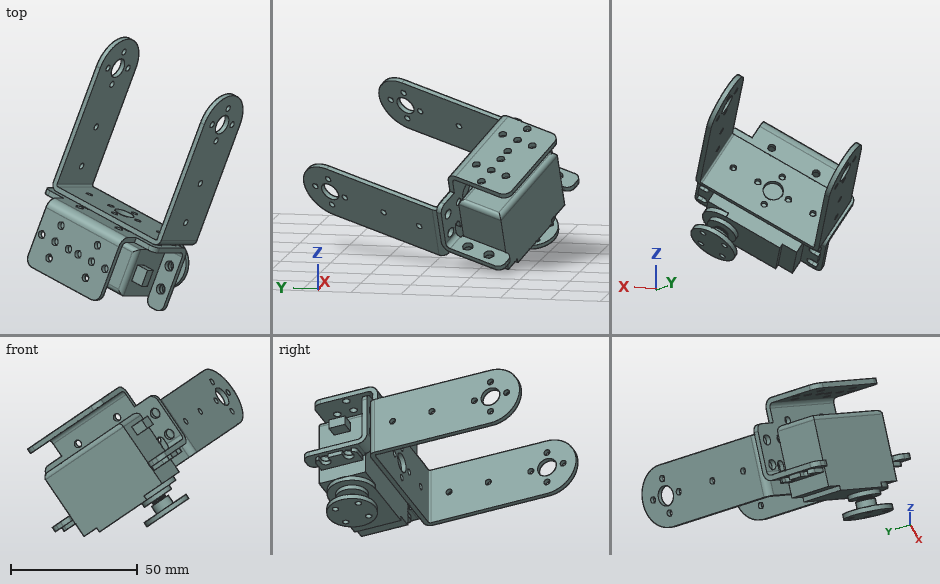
import cadquery as cq
import math

TURN_ABOUT_Z = -24.19
TILT_ABOUT_Y = -34.15


U_SHEET = 2.0
U_HALF_WIDTH = 28.15
U_WIDTH_Z = 25.1
U_CENTRE_Z = 7.25
U_BEND_RADIUS = 2.8
ARM_PIVOT_Y = 52.85
ARM_HOLE_Y = (10.6, 27.5)
U_BASE_HOLE_X = 18.3

HUB_HOLE_D = 8.0
HORN_SCREW_D = 2.5
HORN_SCREW_RADIUS = 7.0

SHEET = 2.15
PLATE_HALF_WIDTH = 29.0
FLANGE_HALF_WIDTH = 19.0
FLANGE_TOP_Z = 33.15
SIDE_TOP_Z = 23.3
BEND_RADIUS = 4.0
FLANGE_TIP_Y = -28.35
FLANGE_CORNER_RADIUS = 3.7
EAR_TIP_Y = -28.1
EAR_CORNER_RADIUS = 3.0
SIDE_CORNER_RADIUS = 3.0
PLATE_HUB_X = 10.2
PLATE_HUB_Z = 16.7
FLANGE_HUB_X = 9.5
PLATE_SCREW_D = 3.0
FLANGE_HOLE_D = 3.0
MOUNT_HOLE_D = 4.0
SIDE_HOLE_X = 24.8
MOUNT_HOLE_X = 24.8
MOUNT_HOLE_PITCH = 10.0
SIDE_HOLE_CENTRE_Z = 11.6
EAR_INNER_X = 20.7
RELIEF_WIDTH = 3.2
RELIEF_X = 20.0
RELIEF_TOP_Z = 8.0

SERVO_CENTRE_Y = -14.6
SERVO_LENGTH = 40.7
SERVO_WIDTH = 20.0
SERVO_TOP_Z = 21.2
SERVO_BOTTOM_Z = -7.85
SERVO_EDGE_RADIUS = 2.0
TAB_HALF_LENGTH = 27.4
TAB_WIDTH = 18.0
TAB_THICKNESS = 1.8
TAB_CORNER_RADIUS = 2.0
TAB_HOLE_X = 25.0
TAB_HOLE_D = 4.0
TAB_SLOT_WIDTH = 3.9
PLUG_LENGTH = 5.2
PLUG_WIDTH = 6.9
PLUG_HEIGHT = 4.0
PLUG_CENTRE_Z = 15.4
SHAFT_X = 10.9
GEAR_CASE_END_D = 19.7
GEAR_CASE_LEFT_X = -13.8
GEAR_CASE_BOTTOM_Z = -9.8
COLLAR_D = 13.0
COLLAR_BOTTOM_Z = -11.7
SPLINE_D = 6.0
SPLINE_TEETH = 25
SPLINE_TOOTH_DEPTH = 0.3

HORN_HUB_D = 8.0
HORN_HUB_TOP_Z = -13.0
HORN_DISC_D = 20.0
HORN_DISC_TOP_Z = -16.6
HORN_DISC_THICKNESS = 2.0


def drill_x(diameter, y, z):
    """Cylinder along X at (y, z), longer than the U-bracket is wide."""
    length = 4 * U_HALF_WIDTH
    return cq.Workplane("YZ", origin=(-length / 2, y, z)).circle(diameter / 2).extrude(length)


def drill_y(diameter, x, z):
    """Cutter along Y at (x, z), long enough for both bracket plates."""
    return cq.Workplane("XZ", origin=(x, 2 * SHEET, z)).circle(diameter / 2).extrude(4 * SHEET)


def drill_z(diameter, x, y, z):
    """Cutter along Z through one sheet, centred at height z."""
    return cq.Workplane("XY", origin=(x, y, z - SHEET)).circle(diameter / 2).extrude(2 * SHEET)


def box(x_range, y_range, z_range):
    """Block between the given limits on each axis."""
    size = [high - low for low, high in (x_range, y_range, z_range)]
    return cq.Workplane("XY").box(*size, centered=False).translate((x_range[0], y_range[0], z_range[0]))


def horn_pattern():
    """Offsets of the four horn screw holes from the hub hole."""
    return [(HORN_SCREW_RADIUS, 0), (-HORN_SCREW_RADIUS, 0), (0, HORN_SCREW_RADIUS), (0, -HORN_SCREW_RADIUS)]


def u_bracket():
    """Base strip with two long, round-ended arms."""
    arm_end_y = ARM_PIVOT_Y + U_WIDTH_Z / 2
    bottom_z = U_CENTRE_Z - U_WIDTH_Z / 2
    top_z = U_CENTRE_Z + U_WIDTH_Z / 2
    outer = box((-U_HALF_WIDTH, U_HALF_WIDTH), (0, arm_end_y), (bottom_z, top_z))
    outer = outer.edges("|Z and <Y").fillet(U_BEND_RADIUS)
    inner_half = U_HALF_WIDTH - U_SHEET
    inner = box((-inner_half, inner_half), (U_SHEET, arm_end_y), (bottom_z, top_z))
    inner = inner.edges("|Z and <Y").fillet(U_BEND_RADIUS - U_SHEET)
    arm_outline = box((-U_HALF_WIDTH, U_HALF_WIDTH), (0, ARM_PIVOT_Y), (bottom_z, top_z))
    arm_outline = arm_outline.union(drill_x(U_WIDTH_Z, ARM_PIVOT_Y, U_CENTRE_Z))
    bracket = outer.cut(inner).intersect(arm_outline)
    bracket = bracket.cut(drill_x(HUB_HOLE_D, ARM_PIVOT_Y, U_CENTRE_Z))
    for dy, dz in horn_pattern():
        bracket = bracket.cut(drill_x(HORN_SCREW_D, ARM_PIVOT_Y + dy, U_CENTRE_Z + dz))
    for y in ARM_HOLE_Y:
        bracket = bracket.cut(drill_x(HORN_SCREW_D, y, U_CENTRE_Z))
    bracket = bracket.cut(drill_y(HUB_HOLE_D, 0, U_CENTRE_Z))
    for dx, dz in horn_pattern():
        bracket = bracket.cut(drill_y(HORN_SCREW_D, dx, U_CENTRE_Z + dz))
    for x in (-U_BASE_HOLE_X, U_BASE_HOLE_X):
        bracket = bracket.cut(drill_y(HORN_SCREW_D, x, U_CENTRE_Z))
    return bracket


def bent_channel():
    """Back plate with a full-width leg towards -Y at top and bottom, both bends rounded."""
    x_range = (-PLATE_HALF_WIDTH, PLATE_HALF_WIDTH)
    deepest_y = min(EAR_TIP_Y, FLANGE_TIP_Y)
    outer = box(x_range, (deepest_y, 0), (0, FLANGE_TOP_Z))
    outer = outer.edges("|X and >Y").fillet(BEND_RADIUS)
    inner = box(x_range, (deepest_y, -SHEET), (SHEET, FLANGE_TOP_Z - SHEET))
    inner = inner.edges("|X and >Y").fillet(BEND_RADIUS - SHEET)
    return outer.cut(inner)


def bracket_envelope():
    """Space the trimmed bracket fills: flange, back plate and two ears, with rounded corners."""
    flange_x = (-FLANGE_HALF_WIDTH, FLANGE_HALF_WIDTH)
    flange = box(flange_x, (FLANGE_TIP_Y, 0), (SIDE_TOP_Z, FLANGE_TOP_Z))
    flange = flange.edges("|Z and <Y").fillet(FLANGE_CORNER_RADIUS)
    plate = box((-PLATE_HALF_WIDTH, PLATE_HALF_WIDTH), (-SHEET, 0), (BEND_RADIUS, SIDE_TOP_Z))
    plate = plate.edges("|Y and >Z").fillet(SIDE_CORNER_RADIUS)
    envelope = flange.union(plate)
    for side in (-1, 1):
        ear_x = sorted((side * EAR_INNER_X, side * PLATE_HALF_WIDTH))
        ear = box(ear_x, (EAR_TIP_Y, 0), (0, BEND_RADIUS))
        envelope = envelope.union(ear.edges("|Z and <Y").fillet(EAR_CORNER_RADIUS))
    return envelope


def bend_relief(x):
    """Round-topped slot beside an ear's bend."""
    half = RELIEF_WIDTH / 2
    centre_z = RELIEF_TOP_Z - half
    slot = box((x - half, x + half), (-2 * SHEET, 0), (0, centre_z))
    return slot.union(drill_y(RELIEF_WIDTH, x, centre_z))


def multi_bracket():
    """Sheet bracket that carries the servo on two ears below a drilled flange."""
    bracket = bent_channel().intersect(bracket_envelope())
    for side in (-1, 1):
        bracket = bracket.cut(bend_relief(side * RELIEF_X))
        hub_x = side * PLATE_HUB_X
        bracket = bracket.cut(drill_y(HUB_HOLE_D, hub_x, PLATE_HUB_Z))
        for dx, dz in horn_pattern():
            bracket = bracket.cut(drill_y(PLATE_SCREW_D, hub_x + dx, PLATE_HUB_Z + dz))
        for dx, dy in horn_pattern() + [(0, 0)]:
            hole_x = side * FLANGE_HUB_X + dx
            bracket = bracket.cut(drill_z(FLANGE_HOLE_D, hole_x, SERVO_CENTRE_Y + dy, FLANGE_TOP_Z))
        for offset in (-MOUNT_HOLE_PITCH / 2, MOUNT_HOLE_PITCH / 2):
            mount_x = side * MOUNT_HOLE_X
            bracket = bracket.cut(drill_z(MOUNT_HOLE_D, mount_x, SERVO_CENTRE_Y + offset, SHEET))
            bracket = bracket.cut(drill_y(MOUNT_HOLE_D, side * SIDE_HOLE_X, SIDE_HOLE_CENTRE_Z + offset))
    return bracket


def servo():
    """Servo body with mounting tabs, cable plug, gear case and output shaft."""
    half_length = SERVO_LENGTH / 2
    front = SERVO_CENTRE_Y - SERVO_WIDTH / 2
    back = SERVO_CENTRE_Y + SERVO_WIDTH / 2
    body = box((-half_length, half_length), (front, back), (SERVO_BOTTOM_Z, SERVO_TOP_Z))
    body = body.edges(">Z").fillet(SERVO_EDGE_RADIUS)

    tabs = cq.Workplane("XY").box(2 * TAB_HALF_LENGTH, TAB_WIDTH, TAB_THICKNESS)
    tabs = tabs.edges("|Z").fillet(TAB_CORNER_RADIUS)
    tabs = tabs.translate((0, SERVO_CENTRE_Y, -TAB_THICKNESS / 2))
    for side in (-1, 1):
        for offset in (-MOUNT_HOLE_PITCH / 2, MOUNT_HOLE_PITCH / 2):
            x = side * TAB_HOLE_X
            y = SERVO_CENTRE_Y + offset
            slot_x = sorted((x, side * 2 * TAB_HALF_LENGTH))
            slot_y = (y - TAB_SLOT_WIDTH / 2, y + TAB_SLOT_WIDTH / 2)
            tabs = tabs.cut(drill_z(TAB_HOLE_D, x, y, -SHEET))
            tabs = tabs.cut(box(slot_x, slot_y, (-TAB_THICKNESS, 0)))

    plug_y = (SERVO_CENTRE_Y - PLUG_WIDTH / 2, SERVO_CENTRE_Y + PLUG_WIDTH / 2)
    plug_z = (PLUG_CENTRE_Z - PLUG_HEIGHT / 2, PLUG_CENTRE_Z + PLUG_HEIGHT / 2)
    plug = box((half_length, half_length + PLUG_LENGTH), plug_y, plug_z)

    case_block = box((GEAR_CASE_LEFT_X, SHAFT_X), (front, back), (GEAR_CASE_BOTTOM_Z, SERVO_BOTTOM_Z))
    case_end = disc(GEAR_CASE_END_D, GEAR_CASE_BOTTOM_Z, SERVO_BOTTOM_Z)
    collar = disc(COLLAR_D, COLLAR_BOTTOM_Z, GEAR_CASE_BOTTOM_Z)
    spline = toothed_spline(HORN_HUB_TOP_Z, COLLAR_BOTTOM_Z)
    return body.union(tabs).union(plug).union(case_block).union(case_end).union(collar).union(spline)


def disc(diameter, bottom_z, top_z):
    """Cylinder on the servo shaft axis."""
    plane = cq.Workplane("XY", origin=(SHAFT_X, SERVO_CENTRE_Y, bottom_z))
    return plane.circle(diameter / 2).extrude(top_z - bottom_z)


def toothed_spline(bottom_z, top_z):
    """Output shaft with V-shaped teeth."""
    tip_radius = SPLINE_D / 2
    half_pitch = math.pi / SPLINE_TEETH
    outline = []
    for step in range(2 * SPLINE_TEETH):
        radius = tip_radius if step % 2 == 0 else tip_radius - SPLINE_TOOTH_DEPTH
        outline.append((radius * math.cos(step * half_pitch), radius * math.sin(step * half_pitch)))
    plane = cq.Workplane("XY", origin=(SHAFT_X, SERVO_CENTRE_Y, bottom_z))
    return plane.polyline(outline).close().extrude(top_z - bottom_z)


def horn():
    """Round servo horn: drilled disc on a short hub."""
    wheel = disc(HORN_DISC_D, HORN_DISC_TOP_Z - HORN_DISC_THICKNESS, HORN_DISC_TOP_Z)
    middle_z = HORN_DISC_TOP_Z - SHEET / 2
    diagonal = HORN_SCREW_RADIUS / math.sqrt(2)
    for dx, dy in [(i * diagonal, j * diagonal) for i in (-1, 1) for j in (-1, 1)]:
        wheel = wheel.cut(drill_z(HORN_SCREW_D, SHAFT_X + dx, SERVO_CENTRE_Y + dy, middle_z))
    return wheel.union(disc(HORN_HUB_D, HORN_DISC_TOP_Z, HORN_HUB_TOP_Z))


assembly = u_bracket().union(multi_bracket()).union(servo()).union(horn())
result = assembly.rotate((0, 0, 0), (0, 0, 1), TURN_ABOUT_Z).rotate((0, 0, 0), (0, 1, 0), TILT_ABOUT_Y)